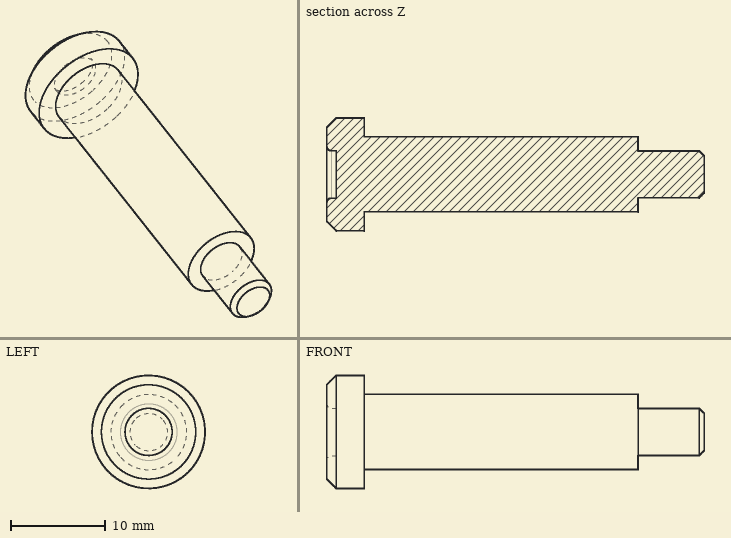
import cadquery as cq

total_length = 40.0
head_length = 4.0
head_diameter = 12.0
head_chamfer = 1.0
shank_end = 33.0
shank_diameter = 8.0
tip_diameter = 5.0
tip_chamfer = 0.5

recess_diameter = 5.0
recess_depth = 1.0
mouth_diameter = 6.0
mouth_radius = (mouth_diameter - recess_diameter) / 2


def cylinder(start, end, diameter):
    """Solid cylinder along the X axis between two stations."""
    return cq.Workplane("YZ", origin=(start, 0, 0)).circle(diameter / 2).extrude(end - start)


head = cylinder(0, head_length, head_diameter).faces("<X").chamfer(head_chamfer)
shank = cylinder(head_length, shank_end, shank_diameter)
tip = cylinder(shank_end, total_length, tip_diameter).faces(">X").chamfer(tip_chamfer)
recess = cylinder(0, recess_depth, recess_diameter)

head = head.cut(recess)
head = head.faces("<X").edges(cq.selectors.RadiusNthSelector(0)).fillet(mouth_radius)

result = head.union(shank).union(tip)